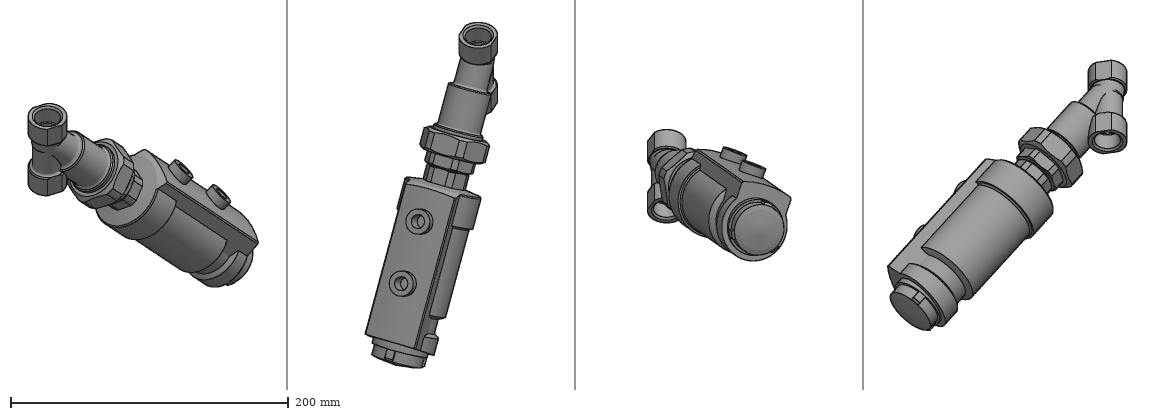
import cadquery as cq
import math

VALVE_TILT = 40.0
CROSSING_Z = 10.9

PIPE_HALF_LENGTH = 32.5
PIPE_R = 11.0
PORT_R = 14.0
PORT_FLATS = 25.5
PORT_INNER_Z = 15.5
PORT_CHAMFER = 1.0
PORT_FILLET = 1.5
THREAD_R = 9.5
THREAD_CHAMFER = 1.5
THREAD_DEPTH = 14.0
SEAT_R = 8.0
SEAT_DEPTH = 8.3
PASSAGE_R = 5.9
PASSAGE_FLOOR_Z = -1.8

ELBOW_R = 11.8
NECK_R = 12.3
ELBOW_REACH = 5.0
ELBOW_TAPER = (NECK_R - ELBOW_R) / ELBOW_REACH
NECK_FILLET = 2.0
SHOULDER_Z = -22.7
SHOULDER_CHAMFER = 1.0
TUBE_R = 16.0
COLLAR_R = 18.5
COLLAR_TOP_Z = -54.0
COLLAR_CHAMFER = 1.0
COLLAR_FILLET = 1.5

NUT_TOP_Z = -57.3
NUT_BOTTOM_Z = -73.9
NUT_FLATS = 46.0
NUT_R = 25.0
NUT_CHAMFER = 2.2
NIPPLE_BOTTOM_Z = -82.7
NIPPLE_FLATS = 34.0
NIPPLE_R = 18.4
NIPPLE_CHAMFER = 0.8
GROOVE_R = 14.0
STEM_TOP_Z = -83.7
STEM_FLATS = 30.0
STEM_R = 16.0
STEM_CHAMFER = 0.5
STEM_BOTTOM_Z = -95.2
HEX_CHAMFER_SLOPE = 0.6

DOME_EDGE_R = 27.6
DOME_EDGE_Z = -97.2
FLANGE_R = 28.5
FLANGE_TOP_Z = -98.2
FLANGE_BOTTOM_Z = -120.9
FLANGE_LIP_R = 27.0
FLANGE_LIP_Z = -122.3
BARREL_R = 26.0
BARREL_BOTTOM_Z = -187.8
BARREL_ROUND_R = 24.3
BARREL_ROUND_Z = -189.0
WAIST_R = 21.3
WAIST_TOP_Z = -190.3
WAIST_BOTTOM_Z = -201.5
SKIRT_R = 25.0
SKIRT_TOP_Z = -203.9
SKIRT_EDGE_R = 24.3
SKIRT_EDGE_Z = -203.2
SKIRT_END_Z = -222.0
END_TILT = 5.5
END_Z = -215.8

BLOCK_HALF_WIDTH = 20.0
BLOCK_CREST_Y = 31.0
BLOCK_EDGE_Y = 28.2
BLOCK_EDGE_X = 19.1
BLOCK_SIDE_Y = 27.0
BLOCK_CONE_SLOPE = 0.5
BLOCK_CONE_R = 40.0
BOSS_COUNT = 2
BOSS_R = 9.1
BOSS_TOP_Y = 37.7
BOSS_UPPER_Z = -123.4
BOSS_SPACING = 46.5
AIR_BORE_R = 5.0
AIR_BORE_DEPTH = 14.0

CAP_TOP_Z = -212.0
CAP_R = 20.7
CAP_STEP_Z = -219.3
CUP_R = 18.7
CUP_RIM_Z = -227.55
DOME_R = 15.0
CUP_DOME_Z = -228.6
CUP_CREST_Z = -230.6
LUG_COUNT = 3
LUG_R = 20.5
LUG_WIDTH = 6.3
LUG_BOTTOM_Z = -225.9


def turned(profile):
    """Solid of revolution about Z from (radius, height) corners; repeated corners are dropped."""
    corners = list(dict.fromkeys(profile))
    return cq.Workplane("XZ").polyline(corners).close().revolve(360, (0, 0, 0), (0, 1, 0))


def tilted(shape):
    """Moves a shape from the upright valve-axis frame to its final place."""
    return shape.rotate((0, 0, 0), (1, 0, 0), VALVE_TILT).translate((0, 0, CROSSING_Z))


def hexagon(flats, corner_r, top, bottom, top_chamfer, bottom_chamfer):
    """Hexagonal collar with two flats square to Y and turned corners."""
    blank = turned([
        (0, top),
        (corner_r - top_chamfer / HEX_CHAMFER_SLOPE, top),
        (corner_r, top - top_chamfer),
        (corner_r, bottom + bottom_chamfer),
        (corner_r - bottom_chamfer / HEX_CHAMFER_SLOPE, bottom),
        (0, bottom),
    ])
    prism = (
        cq.Workplane("XY", origin=(0, 0, bottom))
        .polygon(6, flats / math.cos(math.pi / 6))
        .extrude(top - bottom)
    )
    return prism.intersect(blank)


def beyond_mitre(sign):
    """Block on one side (+1 above, -1 below) of the plane that halves the angle of the axes."""
    size = 4 * -CUP_CREST_Z
    return (
        cq.Workplane("XY")
        .box(size, size, size)
        .translate((0, 0, sign * size / 2))
        .rotate((0, 0, 0), (1, 0, 0), VALVE_TILT / 2)
        .translate((0, 0, CROSSING_Z))
    )


def make_port():
    """Upper pipe end with two side flats."""
    blank = turned([
        (0, PIPE_HALF_LENGTH),
        (PORT_R, PIPE_HALF_LENGTH),
        (PORT_R, PORT_INNER_Z + PORT_CHAMFER),
        (PORT_R - PORT_CHAMFER, PORT_INNER_Z),
        (0, PORT_INNER_Z),
    ])
    flats = cq.Workplane("XY").box(PORT_FLATS, 2 * PORT_R, 2 * PIPE_HALF_LENGTH)
    return blank.intersect(flats)


def make_port_bore():
    """Threaded bore of the upper port, with its mouth chamfer and a smaller seat below it."""
    thread_end = PIPE_HALF_LENGTH - THREAD_DEPTH
    return turned([
        (0, PIPE_HALF_LENGTH),
        (THREAD_R + THREAD_CHAMFER, PIPE_HALF_LENGTH),
        (THREAD_R, PIPE_HALF_LENGTH - THREAD_CHAMFER),
        (THREAD_R, thread_end),
        (SEAT_R, thread_end),
        (SEAT_R, thread_end - SEAT_DEPTH),
        (0, thread_end - SEAT_DEPTH),
    ])


def make_passage():
    """Blind bore along the valve axis, opening into the floor of the upper seat."""
    seat_floor = PIPE_HALF_LENGTH - THREAD_DEPTH - SEAT_DEPTH
    bore = (
        cq.Workplane("XY", origin=(0, 0, PASSAGE_FLOOR_Z))
        .circle(PASSAGE_R)
        .extrude(2 * SEAT_R)
    )
    below_seat = cq.Workplane("XY", origin=(0, 0, seat_floor)).circle(SEAT_R).extrude(-2 * SEAT_R)
    return tilted(bore).intersect(below_seat)


def make_pipe():
    """Pipe from the crossing down to the fillet on the lower port."""
    port_face = -PORT_INNER_Z
    return (
        cq.Workplane("XZ")
        .moveTo(0, CROSSING_Z)
        .lineTo(PIPE_R, CROSSING_Z)
        .lineTo(PIPE_R, port_face + PORT_FILLET)
        .radiusArc((PIPE_R + PORT_FILLET, port_face), -PORT_FILLET)
        .lineTo(0, port_face)
        .close()
        .revolve(360, (0, 0, 0), (0, 1, 0))
    )


def make_elbow():
    """Cone from the upper port down to the mitre plane, where it meets the neck cone."""
    reach = PORT_INNER_Z - CROSSING_Z
    cone = turned([
        (0, reach),
        (ELBOW_R + reach * ELBOW_TAPER, reach),
        (ELBOW_R - ELBOW_REACH * ELBOW_TAPER, -ELBOW_REACH),
        (0, -ELBOW_REACH),
    ])
    return cone.translate((0, 0, CROSSING_Z)).intersect(beyond_mitre(1))


def make_neck():
    """Neck, tube and collar on the valve axis, cut off at the mitre plane."""
    neck = (
        cq.Workplane("XZ")
        .moveTo(0, ELBOW_REACH)
        .lineTo(ELBOW_R - ELBOW_REACH * ELBOW_TAPER, ELBOW_REACH)
        .lineTo(NECK_R, -ELBOW_REACH)
        .lineTo(NECK_R, SHOULDER_Z + NECK_FILLET)
        .radiusArc((NECK_R + NECK_FILLET, SHOULDER_Z), -NECK_FILLET)
        .lineTo(TUBE_R - SHOULDER_CHAMFER, SHOULDER_Z)
        .lineTo(TUBE_R, SHOULDER_Z - SHOULDER_CHAMFER)
        .lineTo(TUBE_R, COLLAR_TOP_Z + COLLAR_FILLET)
        .radiusArc((TUBE_R + COLLAR_FILLET, COLLAR_TOP_Z), -COLLAR_FILLET)
        .lineTo(COLLAR_R, COLLAR_TOP_Z - COLLAR_CHAMFER)
        .lineTo(COLLAR_R, NUT_TOP_Z)
        .lineTo(0, NUT_TOP_Z)
        .close()
        .revolve(360, (0, 0, 0), (0, 1, 0))
    )
    return tilted(neck).intersect(beyond_mitre(-1))


def make_valve_body():
    """Pipe run with its ports, the elbow and the neck, bored from both ends."""
    body = make_neck().union(make_elbow()).union(make_pipe())
    port = make_port()
    bore = make_port_bore()
    body = body.union(port).union(port.mirror("XY"))
    return body.cut(bore).cut(bore.mirror("XY")).cut(make_passage())


def make_bonnet():
    """Nut, nipple and stem hexagons with a round groove between nipple and stem."""
    nut = hexagon(NUT_FLATS, NUT_R, NUT_TOP_Z, NUT_BOTTOM_Z, NUT_CHAMFER, NUT_CHAMFER)
    nipple = hexagon(NIPPLE_FLATS, NIPPLE_R, NUT_BOTTOM_Z, NIPPLE_BOTTOM_Z, 0, NIPPLE_CHAMFER)
    stem = hexagon(STEM_FLATS, STEM_R, STEM_TOP_Z, STEM_BOTTOM_Z, STEM_CHAMFER, 0)
    groove = (
        cq.Workplane("XY", origin=(0, 0, STEM_TOP_Z))
        .circle(GROOVE_R)
        .extrude(NIPPLE_BOTTOM_Z - STEM_TOP_Z)
    )
    return tilted(nut.union(nipple).union(groove).union(stem))


def make_barrel():
    """Turned part of the housing: dome, flange, barrel, waist and skirt."""
    return turned([
        (0, STEM_BOTTOM_Z),
        (STEM_R, STEM_BOTTOM_Z),
        (DOME_EDGE_R, DOME_EDGE_Z),
        (FLANGE_R, FLANGE_TOP_Z),
        (FLANGE_R, FLANGE_BOTTOM_Z),
        (FLANGE_LIP_R, FLANGE_BOTTOM_Z),
        (BARREL_R, FLANGE_LIP_Z),
        (BARREL_R, BARREL_BOTTOM_Z),
        (BARREL_ROUND_R, BARREL_ROUND_Z),
        (WAIST_R, WAIST_TOP_Z),
        (WAIST_R, WAIST_BOTTOM_Z),
        (SKIRT_EDGE_R, SKIRT_EDGE_Z),
        (SKIRT_R, SKIRT_TOP_Z),
        (SKIRT_R, SKIRT_END_Z),
        (0, SKIRT_END_Z),
    ])


def make_block():
    """Air-port block: crowned top face, bevelled edges and a conical upper end."""
    block = (
        cq.Workplane("XY", origin=(0, 0, SKIRT_END_Z))
        .moveTo(-BLOCK_HALF_WIDTH, 0)
        .lineTo(-BLOCK_HALF_WIDTH, BLOCK_SIDE_Y)
        .lineTo(-BLOCK_EDGE_X, BLOCK_EDGE_Y)
        .threePointArc((0, BLOCK_CREST_Y), (BLOCK_EDGE_X, BLOCK_EDGE_Y))
        .lineTo(BLOCK_HALF_WIDTH, BLOCK_SIDE_Y)
        .lineTo(BLOCK_HALF_WIDTH, 0)
        .close()
        .extrude(FLANGE_TOP_Z - SKIRT_END_Z + FLANGE_R)
    )
    envelope = turned([
        (0, DOME_EDGE_Z),
        (DOME_EDGE_R, DOME_EDGE_Z),
        (BLOCK_CONE_R, DOME_EDGE_Z - BLOCK_CONE_SLOPE * (BLOCK_CONE_R - DOME_EDGE_R)),
        (BLOCK_CONE_R, SKIRT_END_Z),
        (0, SKIRT_END_Z),
    ])
    return block.intersect(envelope)


def make_end_cutter():
    """Block below the sloping lower end of the housing."""
    size = 4 * FLANGE_R
    return (
        cq.Workplane("XY")
        .box(size, size, size)
        .translate((0, 0, -size / 2))
        .rotate((0, 0, 0), (1, 0, 0), END_TILT)
        .translate((0, 0, END_Z))
    )


def make_housing():
    """Actuator housing with its air ports and the recess for the end cap."""
    housing = make_barrel().union(make_block())
    for number in range(BOSS_COUNT):
        boss_z = BOSS_UPPER_Z - number * BOSS_SPACING
        face = cq.Workplane("XZ", origin=(0, BOSS_TOP_Y, boss_z))
        housing = housing.union(face.circle(BOSS_R).extrude(BOSS_TOP_Y - BARREL_R + BOSS_R))
        housing = housing.cut(face.circle(AIR_BORE_R).extrude(AIR_BORE_DEPTH))
    recess = cq.Workplane("XY", origin=(0, 0, CAP_TOP_Z)).circle(CAP_R).extrude(SKIRT_END_Z - CAP_TOP_Z)
    return tilted(housing.cut(make_end_cutter()).cut(recess))


def make_cap():
    """End cap: plug in the housing, domed cup and lugs around the cup."""
    cap = turned([
        (0, CAP_TOP_Z),
        (CAP_R, CAP_TOP_Z),
        (CAP_R, CAP_STEP_Z),
        (CUP_R, CAP_STEP_Z),
        (CUP_R, CUP_RIM_Z),
        (DOME_R, CUP_DOME_Z),
        (0, CUP_CREST_Z),
    ])
    lug_ring = turned([
        (0, CAP_STEP_Z),
        (LUG_R, CAP_STEP_Z),
        (LUG_R, LUG_BOTTOM_Z),
        (CUP_R, CUP_RIM_Z),
        (0, CUP_RIM_Z),
    ])
    for number in range(LUG_COUNT):
        bar = (
            cq.Workplane("XY", origin=(0, 0, CUP_RIM_Z))
            .center(0, LUG_R / 2)
            .rect(LUG_WIDTH, LUG_R)
            .extrude(CAP_STEP_Z - CUP_RIM_Z)
            .rotate((0, 0, 0), (0, 0, 1), number * 360 / LUG_COUNT)
        )
        cap = cap.union(bar.intersect(lug_ring))
    return tilted(cap)


valve_body = make_valve_body()
bonnet = make_bonnet()
housing = make_housing()
cap = make_cap()

result = cq.Compound.makeCompound([valve_body.val(), bonnet.val(), housing.val(), cap.val()])